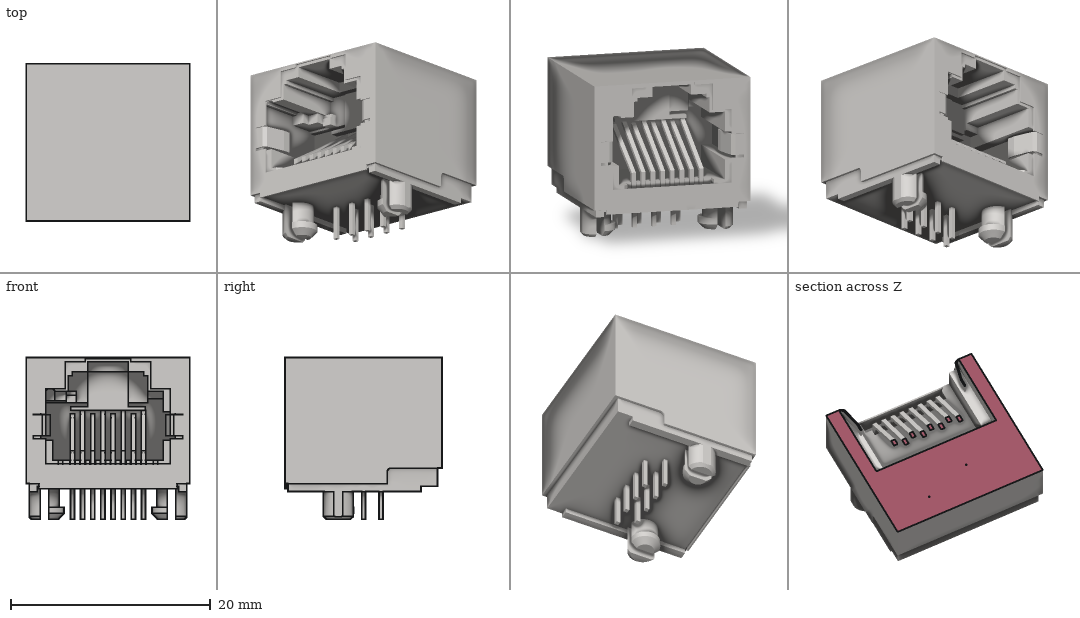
import cadquery as cq


WIDTH = 16.38
DEPTH = 15.75
TOP = 13.17
SHEET = 0.16
SHELL_BOTTOM = 0.5
NOTCH_FRONT = 10.24
NOTCH_TOP = 2.06
NOTCH_RADIUS = 0.41
FLAP_HALF = 6.93

CORE_HALF = 7.91
CORE_FRONT = 0.3
CORE_REAR = 15.32
CORE_BOTTOM = 0.25
RAIL_INNER = 7.1
RAIL_BOTTOM = -0.28
RAIL_REAR = 13.65

SHELL_OPENING_HALF = 6.22
SHELL_OPENING_TOP = 10.04
SHELL_OPENING_BOTTOM = 2.49
CAVITY_HALF = 5.55
CAVITY_TOP = 9.76
CAVITY_BOTTOM = 2.83
CAVITY_REAR = 8.25
LATCH_SHELL_HALF = 4.26
LATCH_SLOT_TOP = 12.75
LATCH_STEP_HALF = 2.3
LATCH_STEP_TOP = 13.04
LATCH_HALF = 3.96
LATCH_SHOULDER = 11.33
LATCH_TOP_HALF = 3.6
LATCH_TOP = 11.71
LATCH_BOTTOM = 8.6
LATCH_REAR = 7.53
SLOT_HALF = 2.01
SLOT_REAR = 6.55

STOP_FRONT = 7.37
STOP_FLANGE_HALF = 3.75
STOP_BOTTOM = 7.86
STOP_FLANGE_TOP = 8.22

SIDE_HALF = 6.72
SIDE_BOTTOM = 4.88
SIDE_TOP = 7.71
SLIT_HALF = 7.49
SLIT_BOTTOM = 5.01
SLIT_TOP = 7.47
TAB_BOTTOM = 5.3
TAB_TOP = 7.42
TAB_ROOT = 6.6
TAB_SHOULDER = 6.22
TAB_SHOULDER_Y = 0.23
TAB_CREST = 5.77
TAB_CREST_Y = 2.35
TAB_TIP = 5.77
TAB_TIP_Y = 3.21

POCKET_TOP = 9.99
POCKET_INNER = 5.35
POCKET_CHAMFER = 0.16
LEFT_STEP_BOTTOM = 8.81
LEFT_STEP_MIDDLE = 4.2
LEFT_STEP_END = 3.18
LEFT_STEP_SPLIT = 9.39
LEFT_STEP_FRONT = 4.91
LEFT_STEP_DROP = 0.82
LEFT_SPLIT_DROP = 0.16
RIGHT_STEP_BOTTOM = 9.03
RIGHT_STEP_FRONT = 7.2

RECESS_HALF = 4.54
RECESS_CHAMFER = 0.45
RECESS_REAR = 1.64
RECESS_BOTTOM = 0.82

PIN_COUNT = 8
PIN_PITCH = 1.02
PIN_WIDTH = 0.45
PIN_THICKNESS = 0.41
CONTACT_FRONT = 1.57
CONTACT_BEND = 3.8
CONTACT_TOPS = (7.52, 7.86)
CONTACT_SLOT_GAP = 0.07
CONTACT_SLOT_REAR = 2.3
SOLDER_ROWS = (7.9, 9.63)
LEG_BOTTOM = -3.08

POST_X = 6.42
POST_Y = 5.35
POST_RADIUS = 1.55
POST_CHAMFER = 0.33
POST_LEG_OUTER = 6.78
POST_LEG_INNER = 5.95
HOOK_SHIFT = 0.5
HOOK_RADIUS = 1.52
HOOK_TOP = -1.83
HOOK_CHAMFER = 0.6


def block(x0, x1, y0, y1, z0, z1):
    """Box spanned by its limits along each axis."""
    return cq.Workplane("XY").box(x1 - x0, y1 - y0, z1 - z0, centered=False).translate((x0, y0, z0))


def wide_block(half, y0, y1, z0, z1):
    """Box centred on X = 0."""
    return block(-half, half, y0, y1, z0, z1)


def mirrored(solid):
    """The solid together with its mirror image across X = 0."""
    return solid.union(solid.mirror("YZ"))


def make_body():
    shell = wide_block(WIDTH / 2, 0, DEPTH, SHELL_BOTTOM, TOP)
    rear_notch = (
        wide_block(WIDTH / 2, NOTCH_FRONT, DEPTH, SHELL_BOTTOM, NOTCH_TOP)
        .edges("|X and <Y and >Z")
        .fillet(NOTCH_RADIUS)
    )
    core = wide_block(CORE_HALF, CORE_FRONT, CORE_REAR, CORE_BOTTOM, NOTCH_TOP + NOTCH_RADIUS)
    rail = block(RAIL_INNER, CORE_HALF, CORE_FRONT, RAIL_REAR, RAIL_BOTTOM, NOTCH_TOP)
    flap = wide_block(FLAP_HALF, 0, SHEET, 0, SHELL_BOTTOM)
    return shell.cut(rear_notch).union(core).union(mirrored(rail)).union(flap)


def shell_opening():
    main = wide_block(SHELL_OPENING_HALF, 0, SHEET, SHELL_OPENING_BOTTOM, SHELL_OPENING_TOP)
    latch = wide_block(LATCH_SHELL_HALF, 0, SHEET, SHELL_OPENING_TOP, LATCH_SLOT_TOP)
    latch_step = wide_block(LATCH_STEP_HALF, 0, SHEET, LATCH_SLOT_TOP, LATCH_STEP_TOP)
    lower_slit = wide_block(SLIT_HALF, 0, SHEET, SLIT_BOTTOM, TAB_BOTTOM)
    upper_slit = wide_block(SLIT_HALF, 0, SHEET, TAB_TOP, SLIT_TOP)
    tab_window = wide_block(TAB_ROOT, 0, SHEET, TAB_BOTTOM, TAB_TOP)
    return main.union(latch).union(latch_step).union(lower_slit).union(upper_slit).union(tab_window)


def latch_cavity():
    lower = wide_block(LATCH_HALF, SHEET, LATCH_REAR, LATCH_BOTTOM, LATCH_SHOULDER)
    upper = wide_block(LATCH_TOP_HALF, SHEET, LATCH_REAR, LATCH_SHOULDER, LATCH_TOP)
    slot = wide_block(SLOT_HALF, SHEET, SLOT_REAR, LATCH_TOP, LATCH_SLOT_TOP)
    return lower.union(upper).union(slot)


def corner_pocket():
    """Pocket in the upper left corner, taller at its outer end."""
    tall = (
        block(-SHELL_OPENING_HALF, -POCKET_INNER, SHEET, LATCH_REAR, CAVITY_TOP, POCKET_TOP)
        .edges("|Y and >Z")
        .chamfer(POCKET_CHAMFER)
    )
    main = block(-SIDE_HALF, -LATCH_HALF, SHEET, LATCH_REAR, LATCH_BOTTOM, CAVITY_TOP)
    return tall.union(main)


def floor_recess():
    mouth = RECESS_HALF + RECESS_CHAMFER
    outline = [
        (-mouth, SHEET),
        (mouth, SHEET),
        (RECESS_HALF, SHEET + RECESS_CHAMFER),
        (RECESS_HALF, RECESS_REAR),
        (-RECESS_HALF, RECESS_REAR),
        (-RECESS_HALF, SHEET + RECESS_CHAMFER),
    ]
    height = CAVITY_BOTTOM - RECESS_BOTTOM
    return cq.Workplane("XY").workplane(offset=RECESS_BOTTOM).polyline(outline).close().extrude(height)


def housing_cavity():
    main = wide_block(CAVITY_HALF, SHEET, CAVITY_REAR, CAVITY_BOTTOM, LATCH_BOTTOM)
    right_top = block(0, CAVITY_HALF, SHEET, LATCH_REAR, LATCH_BOTTOM, CAVITY_TOP)
    right_low = block(LATCH_HALF, CAVITY_HALF, SHEET, CAVITY_REAR, LATCH_BOTTOM, RIGHT_STEP_BOTTOM)
    right_side = block(0, SIDE_HALF, SHEET, CAVITY_REAR, SIDE_BOTTOM, SIDE_TOP)
    left_side = block(-SIDE_HALF, 0, SHEET, CAVITY_REAR, SIDE_BOTTOM, LATCH_BOTTOM)
    cavity = main.union(right_top).union(right_low).union(right_side).union(left_side)
    return cavity.union(latch_cavity()).union(corner_pocket()).union(floor_recess())


def cavity_steps():
    """Raised steps on the rear wall in the upper corners of the cavity."""
    second_front = LEFT_STEP_FRONT + LEFT_STEP_DROP
    third_front = second_front + LEFT_STEP_DROP
    split_front = third_front + LEFT_SPLIT_DROP
    first = block(-SIDE_HALF, -POCKET_INNER, LEFT_STEP_FRONT, CAVITY_REAR, LEFT_STEP_BOTTOM, POCKET_TOP)
    second = block(-POCKET_INNER, -LEFT_STEP_MIDDLE, second_front, CAVITY_REAR, LEFT_STEP_BOTTOM, CAVITY_TOP)
    third = block(-LEFT_STEP_MIDDLE, -LEFT_STEP_END, third_front, CAVITY_REAR, LATCH_BOTTOM, LEFT_STEP_SPLIT)
    split = block(-LEFT_STEP_MIDDLE, -LEFT_STEP_END, split_front, CAVITY_REAR, LEFT_STEP_SPLIT, CAVITY_TOP)
    right = block(LATCH_HALF, CAVITY_HALF, RIGHT_STEP_FRONT, CAVITY_REAR, RIGHT_STEP_BOTTOM, CAVITY_TOP)
    return first.union(second).union(third).union(split).union(right)


def latch_stop():
    flange = wide_block(STOP_FLANGE_HALF, STOP_FRONT, CAVITY_REAR, STOP_BOTTOM, STOP_FLANGE_TOP)
    stem = wide_block(SLOT_HALF, STOP_FRONT, CAVITY_REAR, STOP_FLANGE_TOP, LATCH_TOP)
    return flange.union(stem)


def spring_tab():
    """Right-hand shell tab, bent back into the opening."""
    outline = [
        (TAB_ROOT, 0),
        (TAB_SHOULDER, TAB_SHOULDER_Y),
        (TAB_CREST, TAB_CREST_Y),
        (TAB_TIP, TAB_TIP_Y),
        (TAB_TIP + SHEET, TAB_TIP_Y),
        (TAB_CREST + SHEET, TAB_CREST_Y),
        (TAB_SHOULDER + SHEET, TAB_SHOULDER_Y + SHEET),
        (TAB_ROOT, SHEET),
    ]
    height = TAB_TOP - TAB_BOTTOM
    return cq.Workplane("XY").workplane(offset=TAB_BOTTOM).polyline(outline).close().extrude(height)


def contact(x, top):
    """Contact wire rising from the recess and sloping back into the rear wall."""
    back = CONTACT_FRONT + PIN_THICKNESS
    outline = [
        (CONTACT_FRONT, RECESS_BOTTOM),
        (CONTACT_FRONT, CONTACT_BEND),
        (CAVITY_REAR, top),
        (CAVITY_REAR, top - PIN_THICKNESS),
        (back, CONTACT_BEND - PIN_THICKNESS / 2),
        (back, RECESS_BOTTOM),
    ]
    wire = cq.Workplane("YZ").polyline(outline).close().extrude(PIN_WIDTH / 2, both=True)
    return wire.translate((x, 0, 0))


def contact_slot(x):
    """Slot in the cavity floor around the upright part of a contact."""
    half = PIN_WIDTH / 2 + CONTACT_SLOT_GAP
    return block(x - half, x + half, RECESS_REAR, CONTACT_SLOT_REAR, RECESS_BOTTOM, CAVITY_BOTTOM)


def solder_pin(x, y):
    half = PIN_WIDTH / 2
    half_depth = PIN_THICKNESS / 2
    return block(x - half, x + half, y - half_depth, y + half_depth, LEG_BOTTOM, CORE_BOTTOM)


def post():
    """Split post on the left: a flat-sided outer leg and a hooked inner leg."""

    def cylinder(x, bottom, top, radius=POST_RADIUS):
        return cq.Workplane("XY").circle(radius).extrude(top - bottom).translate((x, POST_Y, bottom))

    y0 = POST_Y - POST_RADIUS
    y1 = POST_Y + POST_RADIUS
    hook_x = HOOK_SHIFT - POST_X
    outer_zone = block(-CORE_HALF, -POST_LEG_OUTER, y0, y1, LEG_BOTTOM, CORE_BOTTOM)
    inner_zone = block(-POST_LEG_INNER, 0, y0, y1, LEG_BOTTOM, CORE_BOTTOM)
    tip = cylinder(-POST_X, LEG_BOTTOM, CORE_BOTTOM).faces("<Z").chamfer(POST_CHAMFER)
    outer_leg = tip.intersect(outer_zone)
    stem = cylinder(-POST_X, HOOK_TOP, CORE_BOTTOM)
    hook = cylinder(hook_x, LEG_BOTTOM, HOOK_TOP, HOOK_RADIUS).faces("<Z").chamfer(HOOK_CHAMFER)
    inner_leg = stem.union(hook).intersect(inner_zone)
    return outer_leg.union(inner_leg)


result = make_body().cut(shell_opening()).cut(housing_cavity())
result = result.union(cavity_steps()).union(latch_stop())
result = result.union(mirrored(spring_tab())).union(mirrored(post()))
for i in range(PIN_COUNT):
    pin_x = (i - (PIN_COUNT - 1) / 2) * PIN_PITCH
    result = result.cut(contact_slot(pin_x))
    result = result.union(contact(pin_x, CONTACT_TOPS[i % 2]))
    result = result.union(solder_pin(pin_x, SOLDER_ROWS[i % 2]))